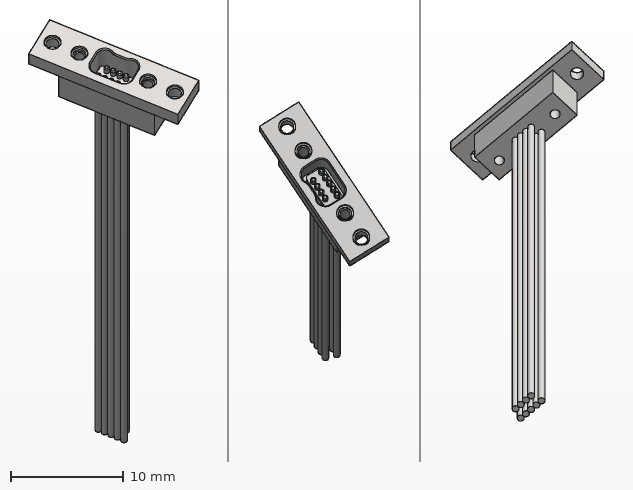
import cadquery as cq
import math

total_height = 55.65
plate_length = 14.85
plate_width = 4.2
plate_thickness = 1.55

block_length = 9.6
block_width = 3.2
block_height = 4.2
block_offset_y = 0.15

mounting_hole_spacing = 12.2
jackscrew_hole_spacing = 6.85
hole_mouth_diameter = 1.5
hole_mouth_depth = 0.3
hole_diameter = 1.15
jackscrew_step_depth = 0.55
jackscrew_bore_diameter = 0.9

cavity_length = 4.05
cavity_width = 2.5
cavity_depth = 2.8
lobe_rise = 0.2
corner_radius = 0.8
rim_chamfer = 0.1

insulator_length = 3.45
insulator_width = 1.85
insulator_height = 0.85
insulator_corner_radius = 0.3

five_wide_span = 2.55
five_wide_gaps = 4
rows = [(4, 1), (5, -1)]
contact_row_y = 0.53
contact_radius = 0.25
contact_height = 0.65
contact_tip_chamfer = 0.1
wire_row_y = 0.5
wire_radius = 0.31

cavity_half_length = cavity_length / 2
cavity_half_width = cavity_width / 2
pitch = five_wide_span / five_wide_gaps
block_bottom_z = -(plate_thickness + block_height)
wire_length = total_height + block_bottom_z
insulator_top_z = insulator_height - cavity_depth


def make_housing():
    plate = cq.Workplane("XY").rect(plate_length, plate_width).extrude(-plate_thickness)
    block = (
        cq.Workplane("XY", origin=(0, block_offset_y, -plate_thickness))
        .rect(block_length, block_width)
        .extrude(-block_height)
    )
    return plate.union(block)


def make_hole_pair(spacing, diameter, depth):
    """Two round cutters from the top face down, mirrored about X = 0."""
    centres = [(-spacing / 2, 0), (spacing / 2, 0)]
    return cq.Workplane("XY").pushPoints(centres).circle(diameter / 2).extrude(-depth)


def cut_screw_holes(body):
    """Through holes at the plate ends and twice-stepped jackscrew holes nearer the socket."""
    through_depth = plate_thickness + block_height
    for spacing in (mounting_hole_spacing, jackscrew_hole_spacing):
        body = body.cut(make_hole_pair(spacing, hole_mouth_diameter, hole_mouth_depth))
    body = body.cut(make_hole_pair(mounting_hole_spacing, hole_diameter, through_depth))
    body = body.cut(make_hole_pair(jackscrew_hole_spacing, hole_diameter, jackscrew_step_depth))
    return body.cut(make_hole_pair(jackscrew_hole_spacing, jackscrew_bore_diameter, through_depth))


def make_cavity():
    """Round-cornered pocket whose +Y wall steps in through an S-bend from each lobe."""
    lobe_y = cavity_half_width + lobe_rise
    corner_x = cavity_half_length - corner_radius
    bend_run = math.sqrt(4 * corner_radius * lobe_rise - lobe_rise**2)
    wall_x = corner_x - bend_run
    bend_middle = (corner_x - bend_run / 2, cavity_half_width + lobe_rise / 2)
    outline = (
        cq.Workplane("XY")
        .moveTo(0, cavity_half_width)
        .lineTo(wall_x, cavity_half_width)
        .tangentArcPoint(bend_middle, relative=False)
        .tangentArcPoint((cavity_half_length, lobe_y - corner_radius), relative=False)
        .lineTo(cavity_half_length, corner_radius - cavity_half_width)
        .tangentArcPoint((corner_x, -cavity_half_width), relative=False)
        .lineTo(0, -cavity_half_width)
        .mirrorY()
    )
    pocket = outline.extrude(-cavity_depth)
    rim_outline = cq.Workplane("XY").add(outline.val()).toPending().offset2D(rim_chamfer)
    rim = rim_outline.extrude(-rim_chamfer, taper=45)
    return pocket.union(rim)


def make_insulator():
    return (
        cq.Workplane("XY", origin=(0, 0, -cavity_depth))
        .rect(insulator_length, insulator_width)
        .extrude(insulator_height)
        .edges("|Z")
        .fillet(insulator_corner_radius)
    )


def row_positions(row_y):
    """Centres of both rows, each row centred on X = 0."""
    points = []
    for count, side in rows:
        for index in range(count):
            x = (index - (count - 1) / 2) * pitch
            points.append((x, side * row_y))
    return points


def make_round_bars(radius, row_y, start_z, length):
    """One upright bar per position; a negative length runs downwards."""
    return (
        cq.Workplane("XY", origin=(0, 0, start_z))
        .pushPoints(row_positions(row_y))
        .circle(radius)
        .extrude(length)
    )


housing = cut_screw_holes(make_housing()).cut(make_cavity())
contacts = make_round_bars(contact_radius, contact_row_y, insulator_top_z, contact_height)
contacts = contacts.faces(">Z").chamfer(contact_tip_chamfer)
wires = make_round_bars(wire_radius, wire_row_y, block_bottom_z, -wire_length)
result = housing.union(make_insulator()).union(contacts).union(wires)